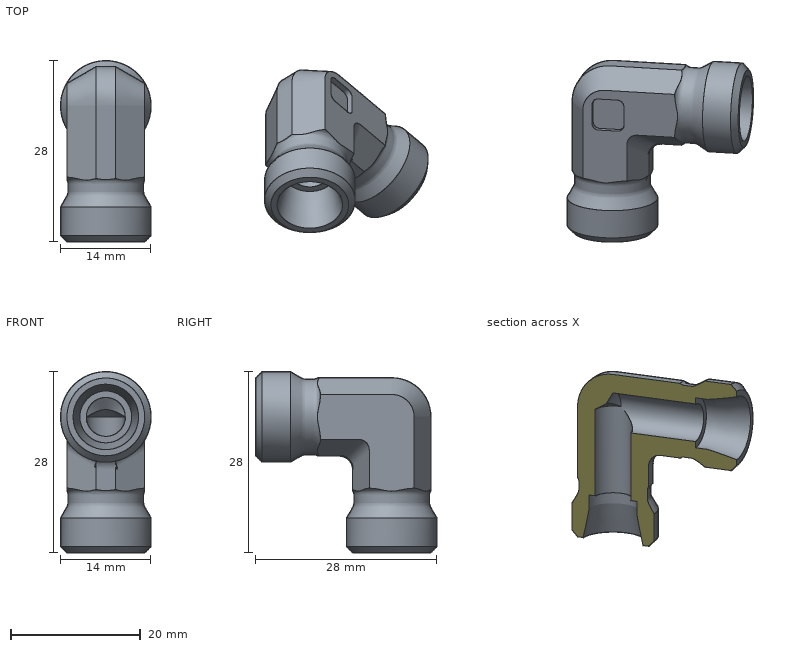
import cadquery as cq
import math


across_flats = 12.0
hexagon_flank_angle = 30.0
edge_land_width = 3.0
inner_corner_radius = 2.0

leg_length = 21.0
thread_diameter = 14.0
thread_chamfer = 1.0
thread_length = 5.4
neck_diameter = 11.7
neck_start = 12.0
neck_fillet_radius = 1.0
neck_cone_half_angle = 30.0

bore_diameter = 6.0
drill_point_angle = 118.0
tube_diameter = 8.0
socket_depth = 7.0
mouth_diameter = 10.1
mouth_half_angle = 12.0

recess_size = 5.0
recess_corner_radius = 1.0
recess_depth = 0.9
recess_y = -0.5
recess_z = -0.5

selection_margin = 0.1

half_width = across_flats / 2
half_land = edge_land_width / 2
flank_slope = math.tan(math.radians(hexagon_flank_angle))
flank_corner = half_width * flank_slope
half_height = flank_corner + (half_width - half_land) * flank_slope
thread_radius = thread_diameter / 2
neck_radius = neck_diameter / 2
bore_radius = bore_diameter / 2
tube_radius = tube_diameter / 2
mouth_radius = mouth_diameter / 2


def along_minus_y(leg_shape):
    """Turn a shape made for the -Z leg onto the -Y leg."""
    return leg_shape.rotate((0, 0, 0), (1, 0, 0), -90)


def revolve_about_z(profile):
    """Revolve a profile drawn in the XZ plane a full turn about Z."""
    return profile.revolve(360, (0, 0, 0), (0, 1, 0))


def bar_leg():
    """Hexagonal bar of the -Z leg, from the crossing down to the neck."""
    upper_side = [
        (half_width, flank_corner),
        (half_land, half_height),
        (-half_land, half_height),
        (-half_width, flank_corner),
    ]
    lower_side = [(-x, -y) for x, y in upper_side]
    return cq.Workplane("XY").polyline(upper_side + lower_side).close().extrude(-neck_start)


def outer_bend():
    """Outer half of the bar section swung a quarter turn about the X axis."""
    half_section = [
        (half_width, 0),
        (half_width, flank_corner),
        (half_land, half_height),
        (-half_land, half_height),
        (-half_width, flank_corner),
        (-half_width, 0),
    ]
    return cq.Workplane("XY").polyline(half_section).close().revolve(90, (0, 0, 0), (1, 0, 0))


def elbow_body():
    """Both bars and the bend, with the inner corner between the legs rounded."""
    leg = bar_leg()
    body = leg.union(along_minus_y(leg)).union(outer_bend()).clean()
    crease_inner = flank_corner
    crease_outer = half_height + selection_margin
    crease = cq.selectors.BoxSelector(
        (-half_width, -crease_outer, -crease_outer),
        (half_width, -crease_inner, -crease_inner),
    )
    return body.edges(crease).fillet(inner_corner_radius)


def neck_relief():
    """Ring that trims the bar end to a concave fillet running into the neck."""
    fillet_start = neck_start - neck_fillet_radius
    fillet_radius_at_bar = neck_radius + neck_fillet_radius
    arc_reach = neck_fillet_radius * math.sin(math.radians(45))
    clear_radius = across_flats
    profile = (
        cq.Workplane("XZ")
        .moveTo(neck_radius, -neck_start)
        .threePointArc(
            (fillet_radius_at_bar - arc_reach, -neck_start + arc_reach),
            (fillet_radius_at_bar, -fillet_start),
        )
        .lineTo(clear_radius, -fillet_start)
        .lineTo(clear_radius, -neck_start)
        .close()
    )
    return revolve_about_z(profile)


def turned_end():
    """Neck, cone and chamfered thread blank of the -Z leg."""
    thread_start = leg_length - thread_length
    cone_length = (thread_radius - neck_radius) / math.tan(math.radians(neck_cone_half_angle))
    cone_start = thread_start - cone_length
    profile = (
        cq.Workplane("XZ")
        .moveTo(0, -neck_start)
        .lineTo(neck_radius, -neck_start)
        .lineTo(neck_radius, -cone_start)
        .lineTo(thread_radius, -thread_start)
        .lineTo(thread_radius, -leg_length + thread_chamfer)
        .lineTo(thread_radius - thread_chamfer, -leg_length)
        .lineTo(0, -leg_length)
        .close()
    )
    cone_foot = cq.selectors.BoxSelector(
        (-neck_radius, -neck_radius, -cone_start - selection_margin),
        (neck_radius, neck_radius, -cone_start + selection_margin),
    )
    return revolve_about_z(profile).edges(cone_foot).fillet(neck_fillet_radius)


def tube_passage():
    """Conical mouth, tube socket and drilled bore of the -Z leg."""
    drill_point = bore_radius / math.tan(math.radians(drill_point_angle / 2))
    mouth_depth = (mouth_radius - tube_radius) / math.tan(math.radians(mouth_half_angle))
    profile = (
        cq.Workplane("XZ")
        .moveTo(0, -leg_length)
        .lineTo(mouth_radius, -leg_length)
        .lineTo(tube_radius, -leg_length + mouth_depth)
        .lineTo(tube_radius, -leg_length + socket_depth)
        .lineTo(bore_radius, -leg_length + socket_depth)
        .lineTo(bore_radius, 0)
        .lineTo(0, drill_point)
        .close()
    )
    return revolve_about_z(profile)


def marking_recess():
    """Rounded square pocket in the flat -X face."""
    return (
        cq.Workplane("YZ", origin=(-half_width, recess_y, recess_z))
        .rect(recess_size, recess_size)
        .extrude(recess_depth)
        .edges("|X")
        .fillet(recess_corner_radius)
    )


def on_both_legs(body, leg_shape, operation):
    """Apply a -Z leg shape to both legs with the given boolean operation."""
    for shape in (leg_shape, along_minus_y(leg_shape)):
        body = operation(body, shape)
    return body


result = elbow_body()
result = on_both_legs(result, neck_relief(), cq.Workplane.cut)
result = on_both_legs(result, turned_end(), cq.Workplane.union)
result = on_both_legs(result, tube_passage(), cq.Workplane.cut)
result = result.cut(marking_recess())